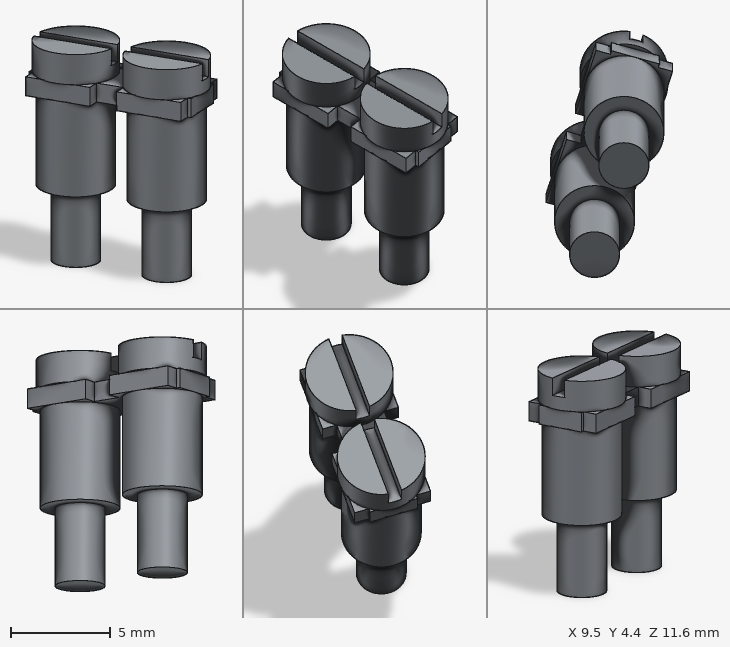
import cadquery as cq

screw_pitch = 5.1
screw_xs = (-screw_pitch / 2, screw_pitch / 2)

head_diameter = 4.4
head_height = 1.6
shank_diameter = 2.5
shank_projection = 4.0
slot_width = 0.7
slot_depth = 0.9

sleeve_diameter = 4.0
sleeve_length = 5.0

plate_thickness = 1.0
pad_length = 3.6
pad_width = sleeve_diameter
bar_length = screw_pitch + sleeve_diameter
bar_width = 2.5

sleeve_bottom = shank_projection
plate_bottom = sleeve_bottom + sleeve_length
head_bottom = plate_bottom + plate_thickness
head_top = head_bottom + head_height


def make_screw(x):
    """Cheese-head screw with a straight slot along X."""
    shank = cq.Workplane("XY").center(x, 0).circle(shank_diameter / 2).extrude(head_bottom)
    head = (
        cq.Workplane("XY", origin=(x, 0, head_bottom))
        .circle(head_diameter / 2)
        .extrude(head_height)
    )
    slot = (
        cq.Workplane("XY", origin=(x, 0, head_top))
        .rect(head_diameter, slot_width)
        .extrude(-slot_depth)
    )
    return shank.union(head).cut(slot)


def make_sleeve(x):
    """Plain sleeve bored to fit the screw shank."""
    return (
        cq.Workplane("XY", origin=(x, 0, sleeve_bottom))
        .circle(sleeve_diameter / 2)
        .circle(shank_diameter / 2)
        .extrude(sleeve_length)
    )


def make_link_plate():
    """Flat link that joins both screws, with a close-fitting hole for each shank."""
    base = cq.Workplane("XY", origin=(0, 0, plate_bottom))
    centres = [(x, 0) for x in screw_xs]
    bar = base.rect(bar_length, bar_width).extrude(plate_thickness)
    pads = base.pushPoints(centres).rect(pad_length, pad_width).extrude(plate_thickness)
    holes = base.pushPoints(centres).circle(shank_diameter / 2).extrude(plate_thickness)
    return bar.union(pads).cut(holes)


link_plate = make_link_plate()
screws = [make_screw(x) for x in screw_xs]
sleeves = [make_sleeve(x) for x in screw_xs]

result = cq.Compound.makeCompound(
    [
        *link_plate.solids().vals(),
        *[screw.solids().val() for screw in screws],
        *[sleeve.solids().val() for sleeve in sleeves],
    ]
)